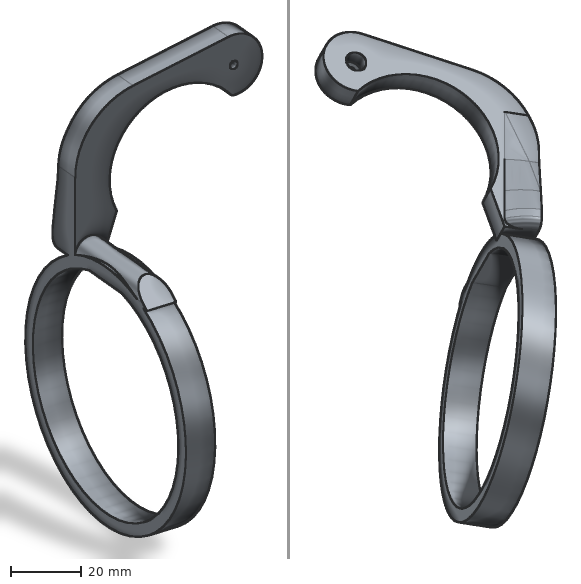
import cadquery as cq
import math

outer_radius = 41.46
ring_wall = 3.98
ring_width = 10.0

arm_left = -23.7
arm_thickness = 8.1
base_z = 36.5
overall_height = 134.8
overall_depth = 63.6
head_radius = 9.7
head_y = overall_depth - head_radius
head_z = overall_height - outer_radius - head_radius
shoulder_radius = 24.3
shoulder_z = 63.1
throat_radius = 23.6
throat_y = 35.3
throat_z = 58.8
spur_z = 48.4

hole_diameter = 2.5
counterbore_diameter = 6.0
counterbore_depth = 5.4

bar_radius = ring_width / 2
bar_top_z = 43.1
bar_top_end_x = 12.8
bar_foot_end_x = 21.3

rib_bulge = 3.6
rib_spur_bulge = 2.7
rib_knee_bulge = 1.01
rib_tip_bulge = 0.03
rib_shoulder_z = 41.8
rib_knee_z = throat_z
rib_tip_z = 74.5
rib_lower_crease = 0.07
rib_knee_crease = 3.0
rib_tip_crease = 9.8
rib_root_x = arm_left + arm_thickness / 2
rib_corner_radius = 2.7
select_margin = 0.1


def make_ring():
    ring = cq.Workplane("XZ").circle(outer_radius).circle(outer_radius - ring_wall)
    return ring.extrude(-ring_width)


def make_arm():
    center_dy = head_y - shoulder_radius
    center_dz = head_z - shoulder_z
    center_distance = math.hypot(center_dy, center_dz)
    normal = math.atan2(center_dz, center_dy) + math.acos(
        (shoulder_radius - head_radius) / center_distance
    )

    def on_head(angle):
        return head_y + head_radius * math.cos(angle), head_z + head_radius * math.sin(angle)

    def on_shoulder(angle):
        return (
            shoulder_radius + shoulder_radius * math.cos(angle),
            shoulder_z + shoulder_radius * math.sin(angle),
        )

    throat_dy = throat_y - head_y
    throat_dz = throat_z - head_z
    throat_distance = math.hypot(throat_dy, throat_dz)
    cosine = (head_radius**2 + throat_distance**2 - throat_radius**2) / (
        2 * head_radius * throat_distance
    )
    lip_point = on_head(math.atan2(throat_dz, throat_dy) + math.acos(cosine))
    spur_y = throat_y - math.sqrt(throat_radius**2 - (throat_z - spur_z) ** 2)
    throat_mid_offset = throat_radius / math.sqrt(2)

    outline = (
        cq.Workplane("YZ", origin=(arm_left, 0, 0))
        .moveTo(0, base_z)
        .lineTo(0, shoulder_z)
        .threePointArc(on_shoulder((math.pi + normal) / 2), on_shoulder(normal))
        .lineTo(*on_head(normal))
        .threePointArc(on_head(0), lip_point)
        .threePointArc(
            (throat_y - throat_mid_offset, throat_z + throat_mid_offset), (spur_y, spur_z)
        )
        .lineTo(ring_width, base_z)
        .close()
    )
    return outline.extrude(arm_thickness)


def rib_section(bulge, crease_y, z):
    fall_depth = ring_width - crease_y
    radius = (fall_depth**2 + bulge**2) / (2 * bulge)
    mid_fall = fall_depth / 2
    mid_y = crease_y + mid_fall
    mid_x = arm_left - bulge + radius - math.sqrt(radius**2 - mid_fall**2)
    return (
        cq.Workplane("XY", origin=(0, 0, z))
        .moveTo(rib_root_x, 0)
        .lineTo(arm_left - bulge, 0)
        .lineTo(arm_left - bulge, crease_y)
        .threePointArc((mid_x, mid_y), (arm_left, ring_width))
        .lineTo(rib_root_x, ring_width)
        .close()
    )


def loft_rib(lower, upper):
    wires = [rib_section(*section).wires().val() for section in (lower, upper)]
    return cq.Workplane(cq.Solid.makeLoft(wires, True))


def make_rib():
    shoulder = (rib_bulge, rib_lower_crease, rib_shoulder_z)
    spur = (rib_spur_bulge, rib_lower_crease, spur_z)
    knee = (rib_knee_bulge, rib_knee_crease, rib_knee_z)
    tip = (rib_tip_bulge, rib_tip_crease, rib_tip_z)
    foot = rib_section(rib_bulge, rib_lower_crease, base_z).extrude(rib_shoulder_z - base_z)
    curved_foot_edges = cq.selectors.BoxSelector(
        (arm_left - rib_bulge - select_margin, -select_margin, base_z - select_margin),
        (arm_left, ring_width, base_z + select_margin),
    )
    foot = foot.faces("<Z").edges(curved_foot_edges)
    rib = foot.fillet(rib_corner_radius)
    sections = (shoulder, spur, knee, tip)
    for lower, upper in zip(sections, sections[1:]):
        rib = rib.union(loft_rib(lower, upper))

    shoulder_limit = (
        cq.Workplane("YZ", origin=(arm_left - rib_bulge, 0, 0))
        .moveTo(0, base_z)
        .lineTo(0, shoulder_z)
        .radiusArc((shoulder_radius, shoulder_z + shoulder_radius), shoulder_radius)
        .lineTo(shoulder_radius, base_z)
        .close()
        .extrude(arm_thickness + rib_bulge)
    )
    return rib.intersect(shoulder_limit)


def make_bar():
    section = (
        cq.Workplane("YZ", origin=(rib_root_x, 0, 0))
        .moveTo(0, base_z)
        .lineTo(0, bar_top_z - bar_radius)
        .threePointArc((bar_radius, bar_top_z), (ring_width, bar_top_z - bar_radius))
        .lineTo(ring_width, base_z)
        .close()
    )
    side = (
        cq.Workplane("XZ")
        .moveTo(rib_root_x, base_z)
        .lineTo(rib_root_x, bar_top_z)
        .lineTo(bar_top_end_x, bar_top_z)
        .lineTo(bar_foot_end_x, base_z)
        .close()
        .extrude(-ring_width)
    )
    return section.extrude(bar_foot_end_x - rib_root_x).intersect(side)


def make_head_hole():
    start = cq.Workplane("YZ", origin=(arm_left, 0, 0)).center(head_y, head_z)
    hole = start.circle(hole_diameter / 2).extrude(arm_thickness)
    counterbore = start.circle(counterbore_diameter / 2).extrude(counterbore_depth)
    return hole.union(counterbore)


result = make_ring().union(make_arm()).union(make_rib()).union(make_bar()).cut(make_head_hole())